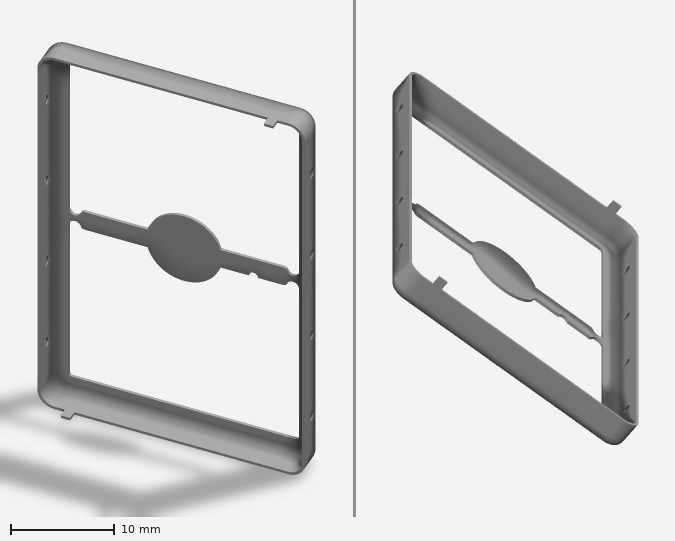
import cadquery as cq

width = 28.4
height = 43.4
wall_depth = 3.3
sheet = 0.3
corner_radius = 1.82
back_edge_radius = 1.0

border = 2.0
window_width = width - 2 * border
window_height = height - 2 * border
window_corner_radius = 0.25

bridge_width = 2.15
disk_diameter = 8.0
neck_width = 0.7
neck_slot_width = 1.3
neck_slot_length = 2 * neck_slot_width
bridge_corner_radius = 0.4
notch_diameter = 1.0
notch_x = 7.38

hole_diameter = 1.0
hole_count = 4
hole_pitch = 10.0
hole_from_back = 1.8

tab_width = 1.0
tab_length = 1.0
tab_x = 10.75

back_y = (wall_depth + tab_length) / 2
rim_y = back_y - wall_depth
plate_front_y = back_y - sheet


def block(x_size, z_size, y_start, y_end):
    """Box centred on the Y axis, spanning y_start to y_end."""
    return cq.Workplane("XZ", origin=(0, y_end, 0)).rect(x_size, z_size).extrude(y_end - y_start)


def rounded_tray_body(inset):
    """Solid body with rounded corners and back edge, offset inwards by inset."""
    body = block(width - 2 * inset, height - 2 * inset, rim_y, back_y - inset)
    body = body.edges("|Y").fillet(corner_radius - inset)
    return body.faces(">Y").edges().fillet(back_edge_radius - inset)


def plate_profile():
    """Sketch plane on the back of the plate; extrude by sheet to fill the plate."""
    return cq.Workplane("XZ", origin=(0, back_y, 0))


def make_bridge():
    """Bridge with narrow necks at both ends, a rim notch and a central disk."""
    bridge = plate_profile().rect(window_width, bridge_width).extrude(sheet)

    slot_x = (window_width - neck_slot_width) / 2
    slot_z = (neck_width + neck_slot_length) / 2
    slot_centers = [(sx * slot_x, sz * slot_z) for sx in (-1, 1) for sz in (-1, 1)]
    slots = plate_profile().pushPoints(slot_centers).slot2D(neck_slot_length, neck_slot_width, 90)
    bridge = bridge.cut(slots.extrude(sheet))

    corner_zone = cq.selectors.BoxSelector(
        (-slot_x, -height, -bridge_width), (slot_x, height, bridge_width)
    )
    bridge = bridge.edges("|Y").edges(corner_zone).fillet(bridge_corner_radius)

    notch = plate_profile().center(notch_x, -bridge_width / 2).circle(notch_diameter / 2).extrude(sheet)
    disk = plate_profile().circle(disk_diameter / 2).extrude(sheet)
    return bridge.cut(notch).union(disk)


def make_side_holes():
    """Row of holes running along X through both long walls."""
    return (
        cq.Workplane("YZ", origin=(0, back_y - hole_from_back, 0))
        .rarray(0.45, hole_pitch, 1, hole_count)
        .circle(hole_diameter / 2)
        .extrude(width, both=True)
    )


def make_tab(side):
    """Tab flush with the outside of the top (side = 1) or bottom (side = -1) wall."""
    tab = block(tab_width, sheet, rim_y - tab_length, rim_y + sheet)
    return tab.translate((side * tab_x, 0, side * (height - sheet) / 2))


frame = rounded_tray_body(0).cut(rounded_tray_body(sheet))
window = block(window_width, window_height, plate_front_y, back_y)
window = window.edges("|Y").fillet(window_corner_radius)

result = frame.cut(window).union(make_bridge()).cut(make_side_holes())
for side in (-1, 1):
    result = result.union(make_tab(side))